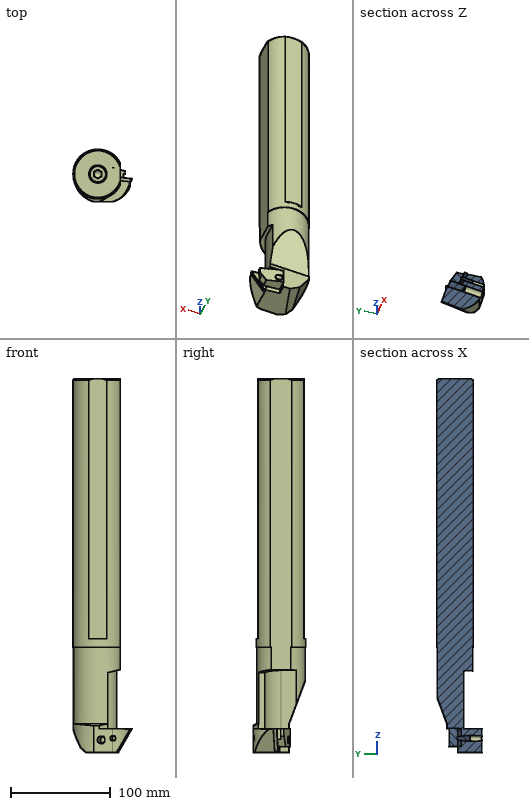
import cadquery as cq
import math


length = 375.0
overall_x = 59.2
overall_y = 53.0
big = 75.0

shank_diameter = 50.0
shank_radius = shank_diameter / 2
flat_distance_y = 23.2
flat_distance_x = 22.5
flat_bottom_y = 114.5
rim_chamfer = 1.5

neck_diameter = 49.0
neck_radius = neck_diameter / 2
neck_top = 105.8
incline_top = 73.5

head_top = 29.0
head_side = 8.2
head_front = shank_radius - overall_y
front_left = -4.0
front_right = 14.2
head_left = (-23.5, head_side)
left_arc_middle = (-15.5, -21.5)
right_arc_middle = (27.0, -20.5)
right_arc_end = (33.8, -8.0)
shoulder_drop = 2.0
upper_cut_point = (-23.5, 8.0, 24.8)
upper_cut_normal = (-1.7, 0.34, -1)
lower_cut_point = (-15.5, -5.0, 6.5)
lower_cut_normal = (-0.7, 0.2, -1)

recess_left = 10.0
recess_wall_y = -23.0
recess_front_x = 1.5
recess_radius = 19.0
recess_roof = 80.2
recess_roof_angle = math.radians(13)

insert_side = 27.8
insert_height = insert_side * math.sqrt(3) / 2
insert_thickness = 3.5
insert_tip_x = overall_x - shank_radius
insert_tip_y = -4.5
insert_top = insert_height
insert_tilt = math.radians(6)
insert_relief = 7
rake_normal = (math.sin(insert_tilt), math.cos(insert_tilt), 0)
edge_overhang = 1.5
edge_normal = (math.sqrt(3), 0, -1)

clamp_left = 4.5
clamp_right = 27.8
clamp_foot_right = 26.0
clamp_bottom = 6.0
clamp_top = insert_top
clamp_left_y = 9.5
clamp_right_y = 3.0
clamp_lip_y = 0.0
clamp_setback = 2.2

rod_lean = math.radians(9)
rod_lead = 3.8
screw_x = 3.5
screw_z = 12.8
screw_radius = 3.8
screw_depth = 18.8
screw_end = 35.5
pin_x = 15.0
pin_z = 14.2
pin_radius = 2.5
pin_depth = 13.0

plug_radius = 8.0
plug_length = 18.8
plug_mouth_chamfer = 1.0
socket_across_corners = 9.0
socket_depth = 3.8
socket_cone_depth = 2.2


def rake_y(x):
    """Y of the tilted upper insert face at a given X."""
    return insert_tip_y + (insert_tip_x - x) * math.tan(insert_tilt)


def prism(outline, bottom, top):
    """Vertical prism over a closed XY outline."""
    return cq.Workplane("XY").workplane(offset=bottom).polyline(outline).close().extrude(top - bottom)


def half_space(point, normal):
    """Large block on the side of a plane that its normal points to."""
    plane = cq.Plane(origin=point, normal=normal)
    return cq.Workplane(plane).rect(2 * big, 2 * big).extrude(big)


def leaning_rod(x, z, radius, start, end):
    """Rod through the front face at (x, z) that leans toward +X as it goes in."""
    plane = cq.Plane(
        origin=(x, head_front, z),
        xDir=(0, 0, 1),
        normal=(math.sin(rod_lean), math.cos(rod_lean), 0),
    )
    return cq.Workplane(plane).workplane(offset=start).circle(radius).extrude(end - start)


def screw_hole():
    return leaning_rod(screw_x, screw_z, screw_radius, -rod_lead, big)


def pin_hole():
    return leaning_rod(pin_x, pin_z, pin_radius, -rod_lead, big)


def insert_blank():
    """Insert without its hole; also the shape of its seat."""
    plane = cq.Plane(
        origin=(insert_tip_x, insert_tip_y, insert_top),
        xDir=(math.cos(insert_tilt), -math.sin(insert_tilt), 0),
        normal=tuple(-part for part in rake_normal),
    )
    corners = [(0, 0), (-insert_side, 0), (-insert_side / 2, -insert_height)]
    return cq.Workplane(plane).polyline(corners).close().extrude(insert_thickness, taper=insert_relief)


def make_shank():
    shank = cq.Workplane("XY").workplane(offset=neck_top).circle(shank_radius).extrude(length - neck_top)
    shank = shank.faces(">Z").chamfer(rim_chamfer)
    flat = cq.Workplane("XY").box(2 * big, big, length, centered=(True, False, False))
    flat = flat.translate((0, flat_distance_y, flat_bottom_y))
    return shank.cut(flat).cut(flat.mirror("XZ"))


def make_neck():
    bottom = head_top - shoulder_drop
    neck = cq.Workplane("XY").workplane(offset=bottom).circle(neck_radius).extrude(neck_top - bottom)
    incline_run = shank_radius - head_side
    incline_rise = incline_top - head_top
    return neck.cut(half_space((0, head_side, head_top), (0, incline_rise, -incline_run)))


def shoulder_limit():
    """Body of revolution whose conical top shapes the shoulder of the head."""
    slope = shoulder_drop / (-head_front - neck_radius)
    outer_height = head_top - slope * (big - neck_radius)
    profile = [(0, -big), (big, -big), (big, outer_height), (neck_radius, head_top), (0, head_top)]
    return cq.Workplane("XZ").polyline(profile).close().revolve(360, (0, 0, 0), (0, 1, 0))


def make_head():
    head = (
        cq.Workplane("XY")
        .moveTo(*head_left)
        .threePointArc(left_arc_middle, (front_left, head_front))
        .lineTo(front_right, head_front)
        .threePointArc(right_arc_middle, right_arc_end)
        .lineTo(right_arc_end[0], head_side)
        .close()
        .extrude(head_top)
    )
    head = head.intersect(shoulder_limit())
    head = head.cut(half_space(upper_cut_point, upper_cut_normal))
    head = head.cut(half_space(lower_cut_point, lower_cut_normal))
    edge_x = insert_tip_x - edge_overhang
    return head.cut(half_space((edge_x, 0, insert_top), edge_normal))


def side_flat():
    """Cutter for the flat on the +X side of shank and neck."""
    block = cq.Workplane("XY").box(big, 2 * big, length, centered=(False, True, False))
    return block.translate((flat_distance_x, 0, head_top))


def neck_recess():
    """Cutter that thins the right of the neck and leaves a shelf on the head."""
    outline = [
        (recess_front_x, head_front),
        (recess_left, recess_wall_y),
        (recess_left, big),
        (big, big),
        (big, head_front),
    ]
    core = cq.Workplane("XY").circle(recess_radius).extrude(length)
    core_back = cq.Workplane("XY").box(recess_radius, big, length, centered=False)
    roof_normal = (-math.sin(recess_roof_angle), 0, math.cos(recess_roof_angle))
    above_roof = half_space((recess_left, 0, recess_roof), roof_normal)
    return prism(outline, insert_top, neck_top).cut(core).cut(core_back).cut(above_roof)


def clamp_pocket():
    """Cutter behind the rake plane, open to +X, +Y and below."""
    outline = [
        (clamp_left, rake_y(clamp_left)),
        (big, rake_y(big)),
        (big, big),
        (clamp_left, big),
    ]
    return prism(outline, 0, clamp_top)


def plug_bore():
    bore = cq.Workplane("XY").workplane(offset=length - plug_length).circle(plug_radius).extrude(plug_length)
    mouth = (
        cq.Workplane("XY")
        .workplane(offset=length)
        .circle(plug_radius + plug_mouth_chamfer)
        .extrude(-plug_mouth_chamfer, taper=45)
    )
    return bore.union(mouth)


def make_holder():
    holder = make_head().union(make_neck()).union(make_shank())
    cutters = [
        side_flat(),
        neck_recess(),
        clamp_pocket(),
        insert_blank(),
        screw_hole(),
        pin_hole(),
        plug_bore(),
    ]
    for cutter in cutters:
        holder = holder.cut(cutter)
    return holder


def make_plug():
    plug_top = length - plug_mouth_chamfer
    socket_floor = plug_top - socket_depth
    cone_radius = socket_across_corners / 2 * math.cos(math.pi / 6)
    plug = cq.Workplane("XY").workplane(offset=length - plug_length).circle(plug_radius)
    plug = plug.extrude(plug_length - plug_mouth_chamfer)
    socket = cq.Workplane("XY").workplane(offset=socket_floor).polygon(6, socket_across_corners)
    socket = socket.extrude(socket_depth).rotate((0, 0, 0), (0, 0, 1), 30)
    cone_tip = cq.Vector(0, 0, socket_floor - socket_cone_depth)
    cone = cq.Solid.makeCone(0, cone_radius, socket_cone_depth, cone_tip)
    return plug.cut(socket).cut(cq.Workplane(cone))


def make_insert():
    return insert_blank().cut(pin_hole())


def make_clamp():
    outline = [
        (clamp_left, rake_y(clamp_left)),
        (clamp_foot_right, rake_y(clamp_foot_right)),
        (clamp_foot_right, clamp_lip_y),
        (clamp_right, clamp_lip_y),
        (clamp_right, clamp_right_y),
        (clamp_left, clamp_left_y),
    ]
    beyond_edge = half_space((insert_tip_x - clamp_setback, 0, insert_top), edge_normal)
    return prism(outline, clamp_bottom, clamp_top).cut(beyond_edge).cut(screw_hole())


def make_clamp_screw():
    return leaning_rod(screw_x, screw_z, screw_radius, screw_depth, screw_end)


def make_insert_pin():
    """Pin that ends flush with the rake face of the insert."""
    beyond_rake = half_space((insert_tip_x, insert_tip_y, 0), rake_normal)
    return leaning_rod(pin_x, pin_z, pin_radius, pin_depth, big).cut(beyond_rake)


holder = make_holder()
plug = make_plug()
insert = make_insert()
clamp = make_clamp()
clamp_screw = make_clamp_screw()
insert_pin = make_insert_pin()
result = cq.Compound.makeCompound([
    holder.val(),
    plug.val(),
    insert.val(),
    clamp.val(),
    clamp_screw.val(),
    insert_pin.val(),
])